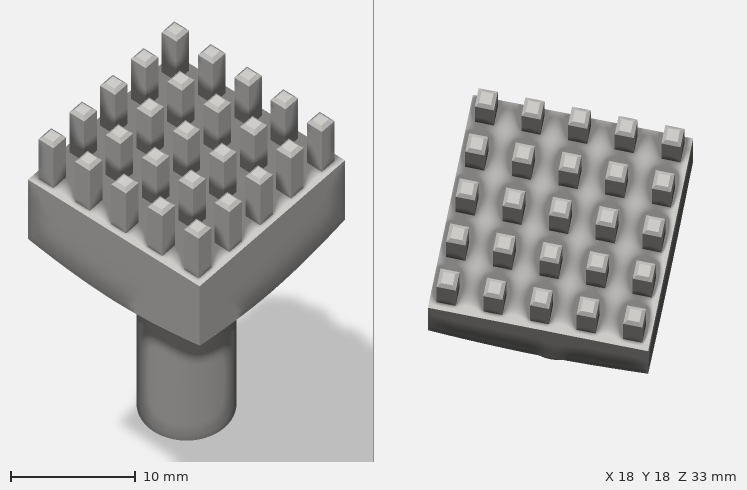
import cadquery as cq
import math

head_width = 18.0
head_height = 8.0
corner_relief_angle = 15.0

shank_diameter = 8.0
shank_length = 20.0
shank_chamfer = 0.4

pins_per_side = 5
pin_pitch = 3.81
pin_width = 1.56
pin_height = 5.0
pin_chamfer = 0.3


def make_head():
    """Square block whose underside corners are relieved by a cone."""
    block = cq.Workplane("XY").rect(head_width, head_width).extrude(head_height)

    flat_radius = head_width / 2
    envelope_radius = head_width
    rise = (envelope_radius - flat_radius) * math.tan(math.radians(corner_relief_angle))
    envelope = (
        cq.Workplane("XZ")
        .moveTo(0, 0)
        .lineTo(flat_radius, 0)
        .lineTo(envelope_radius, rise)
        .lineTo(envelope_radius, head_height)
        .lineTo(0, head_height)
        .close()
        .revolve(360, (0, 0, 0), (0, 1, 0))
    )
    return block.intersect(envelope)


def make_shank():
    """Cylinder hanging from the head, chamfered at its free end."""
    return (
        cq.Workplane("XY")
        .circle(shank_diameter / 2)
        .extrude(-shank_length)
        .faces("<Z")
        .chamfer(shank_chamfer)
    )


def make_pins():
    """Grid of square pins with chamfered tips, standing on the head."""
    return (
        cq.Workplane("XY", origin=(0, 0, head_height))
        .rarray(pin_pitch, pin_pitch, pins_per_side, pins_per_side)
        .rect(pin_width, pin_width)
        .extrude(pin_height)
        .faces(">Z")
        .chamfer(pin_chamfer)
    )


result = make_head().union(make_shank()).union(make_pins())